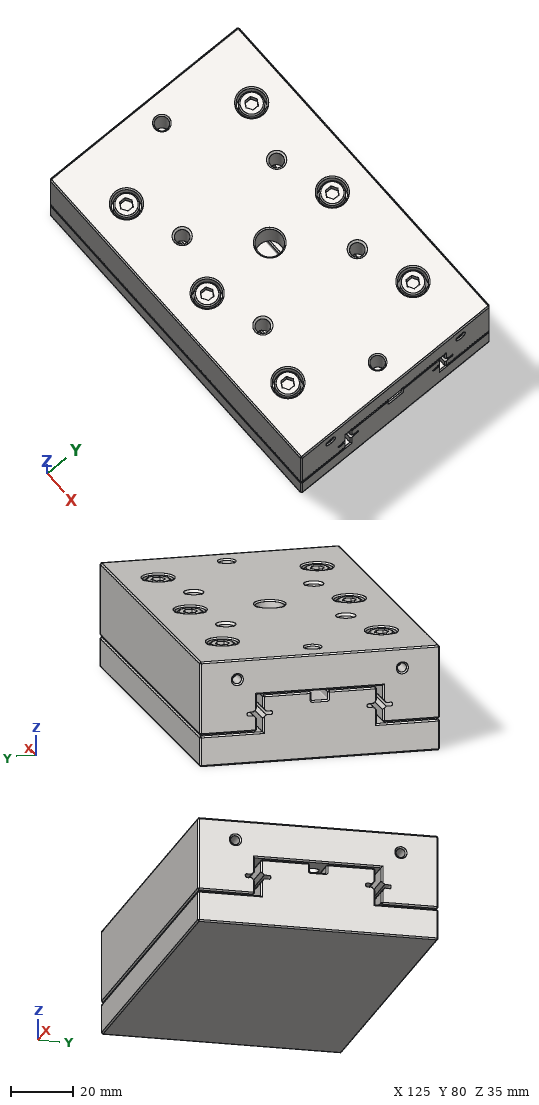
import cadquery as cq
import math

length = 125.0
width = 80.0
height = 35.0
edge_break = 0.5

roller_spacing = 40.0
side_gap = 2.0
running_gap = 0.4
flange_top = 10.2
rail_height = 12.2
cavity_half = (roller_spacing + side_gap) / 2
rail_half = (roller_spacing - side_gap) / 2
rail_top = flange_top + rail_height
carriage_bottom = flange_top + running_gap
cavity_top = rail_top + running_gap
plate_thickness = height - cavity_top
roller_height = (flange_top + cavity_top) / 2

vee_half_diagonal = 2.8
cage_slot_width = 8.5
cage_slot_height = 1.2

rail_slot_width = 5.5
rail_slot_depth = 3.0
rail_slot_corner = 0.4

centre_hole_diameter = 9.5
mount_hole_diameter = 5.0
mount_hole_chamfer = 0.8
mount_hole_spacing_x = 40.0
mount_hole_spacing_y = 40.0
end_hole_diameter = 5.0
end_hole_spacing = 107.0

screw_pitch_x = 40.0
screw_spacing_y = 53.0
counterbore_diameter = 10.0
head_diameter = 8.5
head_chamfer = 0.5
counterbore_depth = 5.5
head_recess = 0.5
socket_across_flats = 4.0
socket_depth = 2.5

tapped_diameter = 3.0
tapped_depth = 7.5
tapped_spacing = 55.0
tapped_height = 28.4
drill_point_angle = 118.0


def extrude_along_x(outline):
    """Extrude a closed (Y, Z) outline over the full length, centred on X = 0."""
    return cq.Workplane("YZ").polyline(outline).close().extrude(length / 2, both=True)


def break_edges(body, inner_corners):
    """Chamfer every edge except the lengthwise ones at the given (Y, Z) inner corners."""

    def is_outer(edge):
        middle = edge.Center()
        distances = [math.hypot(middle.y - y, middle.z - z) for y, z in inner_corners]
        spans_length = edge.Length() > width
        return not (spans_length and min(distances) < edge_break)

    edges = [edge for edge in body.edges().vals() if is_outer(edge)]
    return body.newObject(edges).chamfer(edge_break)


def roller_tracks():
    """Cutter for both roller tracks, shared by the base and the carriage."""
    d = vee_half_diagonal
    tracks = cq.Workplane("YZ")
    for y in (-roller_spacing / 2, roller_spacing / 2):
        centre = (0, y, roller_height)
        diamond = (
            cq.Workplane("YZ", origin=centre)
            .polyline([(-d, 0), (0, d), (d, 0), (0, -d)])
            .close()
            .extrude(length / 2, both=True)
        )
        cage_slot = (
            cq.Workplane("YZ", origin=centre)
            .slot2D(cage_slot_width, cage_slot_height)
            .extrude(length / 2, both=True)
        )
        tracks = tracks.add(diamond.union(cage_slot))
    return tracks.combine()


def chamfered_hole(diameter, depth, chamfer=edge_break):
    """Cutter for a hole down from Z = 0 with a chamfered mouth."""
    radius = diameter / 2
    mouth = radius + chamfer
    outline = [(0, 0), (mouth, 0), (radius, -chamfer), (radius, -depth), (0, -depth)]
    return cq.Workplane("XZ").polyline(outline).close().revolve(360, (0, 0), (0, 1))


def tapped_hole():
    """Cutter for a blind hole down from Z = 0 with a drill-point bottom."""
    radius = tapped_diameter / 2
    tip = tapped_depth + radius / math.tan(math.radians(drill_point_angle / 2))
    cone = (
        cq.Workplane("XZ")
        .polyline([(0, -tapped_depth), (radius, -tapped_depth), (0, -tip)])
        .close()
        .revolve(360, (0, 0), (0, 1))
    )
    return chamfered_hole(tapped_diameter, tapped_depth).union(cone)


def screw_recess():
    """Cutter around a sunk cap screw: the counterbore less the head, plus the hex socket."""
    head = (
        cq.Workplane("XY", origin=(0, 0, -counterbore_depth))
        .circle(head_diameter / 2)
        .extrude(counterbore_depth - head_recess)
        .faces(">Z")
        .chamfer(head_chamfer)
    )
    across_corners = socket_across_flats / math.cos(math.pi / 6)
    socket = (
        cq.Workplane("XY", origin=(0, 0, -head_recess))
        .transformed(rotate=(0, 0, 90))
        .polygon(6, across_corners)
        .extrude(-socket_depth)
    )
    return chamfered_hole(counterbore_diameter, counterbore_depth).cut(head.cut(socket))


def grid(columns, row_spacing):
    """Points in two rows, symmetric about the X axis, at the given X columns."""
    return [(x, y) for x in columns for y in (-row_spacing / 2, row_spacing / 2)]


def cut_from_top(body, cutter, points):
    """Cut a copy of the cutter down from the carriage top at each (X, Y) point."""
    for x, y in points:
        body = body.cut(cutter.translate((x, y, height)))
    return body


def cut_tapped_holes(body):
    """Cut the tapped holes into both end faces."""
    for side in (-1, 1):
        cutter = tapped_hole().rotate((0, 0, 0), (0, 1, 0), side * 90)
        for y in (-tapped_spacing / 2, tapped_spacing / 2):
            body = body.cut(cutter.translate((side * length / 2, y, tapped_height)))
    return body


def make_base():
    """Flange with a raised centre rail and a lengthwise slot in the rail top."""
    slot_half = rail_slot_width / 2
    slot_floor = rail_top - rail_slot_depth
    right_side = [
        (width / 2, 0),
        (width / 2, flange_top),
        (rail_half, flange_top),
        (rail_half, rail_top),
        (slot_half, rail_top),
        (slot_half, slot_floor),
    ]
    left_side = [(-y, z) for y, z in reversed(right_side)]
    inner_corners = [
        (side * y, z)
        for side in (-1, 1)
        for y, z in ((rail_half, flange_top), (slot_half, slot_floor))
    ]
    body = extrude_along_x(right_side + left_side)
    slot_floor_face = cq.selectors.NearestToPointSelector((0, 0, slot_floor))
    body = body.faces(slot_floor_face).edges("|X").fillet(rail_slot_corner)
    return break_edges(body, inner_corners).cut(roller_tracks())


def make_carriage():
    """Top plate that straddles the rail, with its holes and sunk screws."""
    right_side = [
        (width / 2, height),
        (width / 2, carriage_bottom),
        (cavity_half, carriage_bottom),
        (cavity_half, cavity_top),
    ]
    left_side = [(-y, z) for y, z in reversed(right_side)]
    inner_corners = [(-cavity_half, cavity_top), (cavity_half, cavity_top)]
    body = break_edges(extrude_along_x(right_side + left_side), inner_corners)
    body = body.cut(roller_tracks())

    body = cut_from_top(body, chamfered_hole(centre_hole_diameter, plate_thickness), [(0, 0)])
    body = cut_from_top(
        body,
        chamfered_hole(mount_hole_diameter, plate_thickness, mount_hole_chamfer),
        grid([-mount_hole_spacing_x / 2, mount_hole_spacing_x / 2], mount_hole_spacing_y),
    )
    body = cut_from_top(
        body,
        chamfered_hole(end_hole_diameter, plate_thickness),
        [(-end_hole_spacing / 2, 0), (end_hole_spacing / 2, 0)],
    )
    body = cut_from_top(
        body,
        screw_recess(),
        grid([-screw_pitch_x, 0, screw_pitch_x], screw_spacing_y),
    )
    return cut_tapped_holes(body)


base = make_base()
carriage = make_carriage()
result = cq.Compound.makeCompound([base.solids().val(), carriage.solids().val()])